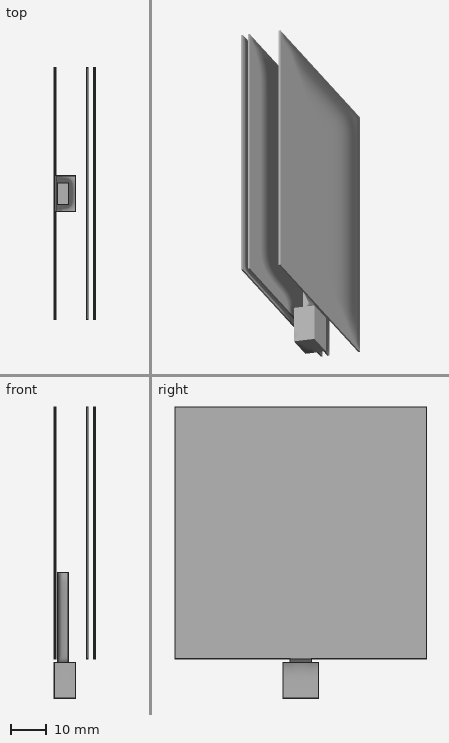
import cadquery as cq

plate_size = 70.0
plate_thickness = 0.5
plate_left_faces = [0.0, 9.0, 11.0]

block_length_x = 6.0
block_length_y = 10.0
block_height = 10.0
block_left_face = 0.0
block_to_plate_gap = 1.0

post_length_x = 3.0
post_length_y = 6.0
post_height = 25.0
post_left_face = 1.0

plate_bottom = 0.0
block_top = plate_bottom - block_to_plate_gap
block_bottom = block_top - block_height


def make_box(left_face, bottom, length_x, length_y, height):
    """Box centred on Y, placed by its left (-X) face and its bottom."""
    return (
        cq.Workplane("XY")
        .box(length_x, length_y, height, centered=(False, True, False))
        .translate((left_face, 0, bottom))
    )


def make_plate(left_face):
    return make_box(left_face, plate_bottom, plate_thickness, plate_size, plate_size)


def make_block():
    return make_box(block_left_face, block_bottom, block_length_x, block_length_y, block_height)


def make_post():
    return make_box(post_left_face, block_top, post_length_x, post_length_y, post_height)


plates = [make_plate(left_face) for left_face in plate_left_faces]
block = make_block()
post = make_post()

result = cq.Compound.makeCompound([*[plate.val() for plate in plates], block.val(), post.val()])